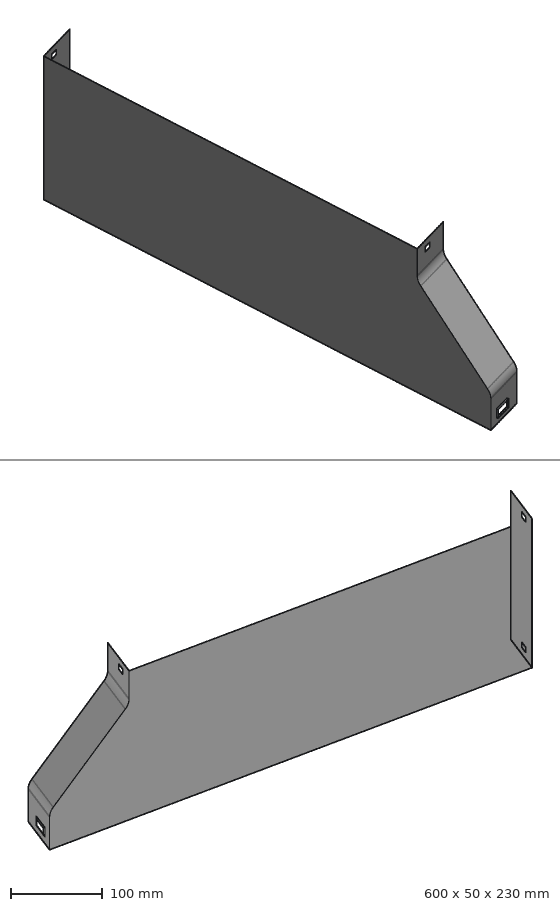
import cadquery as cq

length = 600.0
depth = 50.0
height = 230.0
sheet = 0.7

collar_height = 2.0
panel_length = length - collar_height
top_length = 500.0
upper_drop = 51.0
lower_rise = 58.0
bend_radius = 20.5

hole_width = 9.0
hole_tall = 8.0
hole_from_face = 20.0
hole_from_edge = 14.5

collar_width = 20.5
collar_tall = 14.5
collar_wall = 0.5
collar_from_face = 21.0
collar_center_z = 18.0


def profile_prism():
    """Full-depth solid with the stepped outline and rounded bends."""
    outline = (
        cq.Workplane("XZ")
        .polyline([
            (0, 0),
            (panel_length, 0),
            (panel_length, lower_rise),
            (top_length, height - upper_drop),
            (top_length, height),
            (0, height),
        ])
        .close()
        .extrude(-depth)
    )
    bends = cq.selectors.BoxSelector(
        (top_length - sheet, -sheet, lower_rise - sheet),
        (panel_length + sheet, depth + sheet, height - upper_drop + sheet),
    )
    return outline.edges("|Y").edges(bends).fillet(bend_radius)


def folded_sheet():
    """Front panel with a left flange and a flange following the right end."""
    return profile_prism().faces(">Y or >Z or <Z").shell(-sheet)


def flange_hole(x, z):
    """Cutter for a rectangular hole through a flange that starts at x."""
    return (
        cq.Workplane("YZ", origin=(x - sheet, hole_from_face, z))
        .rect(hole_width, hole_tall)
        .extrude(3 * sheet)
    )


def collar_block(x, extent, inset):
    """Rectangular block along X, inset from the outside of the collar."""
    return (
        cq.Workplane("YZ", origin=(x, collar_from_face, collar_center_z))
        .rect(collar_width - 2 * inset, collar_tall - 2 * inset)
        .extrude(extent)
    )


inner_face = panel_length - sheet
top_hole_z = height - hole_from_edge

result = folded_sheet()
for hole_x, hole_z in [
    (0, hole_from_edge),
    (0, top_hole_z),
    (top_length - sheet, top_hole_z),
]:
    result = result.cut(flange_hole(hole_x, hole_z))

result = result.union(collar_block(inner_face, sheet + collar_height, 0))
result = result.cut(collar_block(inner_face - sheet, 2 * sheet + collar_height, collar_wall))